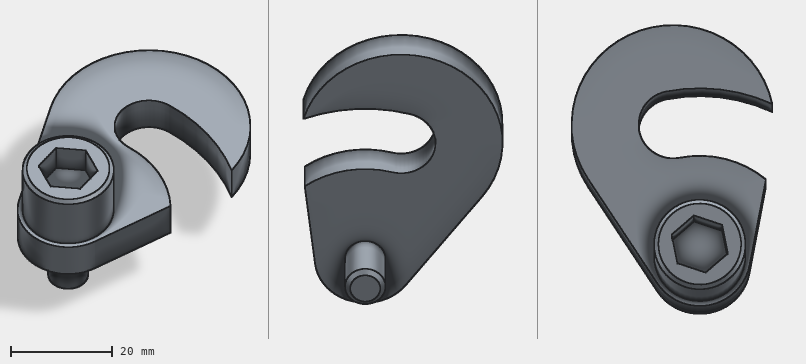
import cadquery as cq
import math

disc_radius = 20.0
pivot_radius = 9.95
length = 56.95
pivot_to_disc = length - disc_radius - pivot_radius
plate_thickness = 8

throat_radius = 6.8

head_diameter = 18.0
head_height = 12.2
head_chamfer_width = 0.85
head_chamfer_height = 0.5
hex_across_flats = 10.15
hex_depth = 6.0
pin_diameter = 8
pin_length = 12.0
pin_chamfer_width = 1.0
pin_chamfer_height = 0.8


def make_blank():
    """Two round ends joined by their common tangent lines."""
    tilt = math.asin((disc_radius - pivot_radius) / pivot_to_disc)
    across = math.cos(tilt)
    down = math.sin(tilt)
    disc_x = disc_radius * across
    disc_y = pivot_to_disc - disc_radius * down
    pivot_x = pivot_radius * across
    pivot_y = -pivot_radius * down
    return (
        cq.Workplane("XY")
        .moveTo(-disc_x, disc_y)
        .threePointArc((0, pivot_to_disc + disc_radius), (disc_x, disc_y))
        .lineTo(pivot_x, pivot_y)
        .threePointArc((0, -pivot_radius), (-pivot_x, pivot_y))
        .close()
        .extrude(plate_thickness)
    )


def make_throat():
    """Arc-shaped slot that swings about the pivot and opens on the +X side."""
    outer_radius = pivot_to_disc + throat_radius
    inner_radius = pivot_to_disc - throat_radius
    ring = cq.Workplane("XY").circle(outer_radius).circle(inner_radius).extrude(plate_thickness)
    open_quarter = (
        cq.Workplane("XY")
        .rect(outer_radius, outer_radius, centered=False)
        .extrude(plate_thickness)
    )
    round_end = (
        cq.Workplane("XY")
        .center(0, pivot_to_disc)
        .circle(throat_radius)
        .extrude(plate_thickness)
    )
    return ring.intersect(open_quarter).union(round_end)


def make_screw():
    """Turned screw profile with a hexagon socket, corners pointing along Y."""
    head_radius = head_diameter / 2
    pin_radius = pin_diameter / 2
    head_top = plate_thickness + head_height
    profile = [
        (0, -pin_length),
        (pin_radius - pin_chamfer_width, -pin_length),
        (pin_radius, -pin_length + pin_chamfer_height),
        (pin_radius, plate_thickness),
        (head_radius, plate_thickness),
        (head_radius, head_top - head_chamfer_height),
        (head_radius - head_chamfer_width, head_top),
        (0, head_top),
    ]
    body = cq.Workplane("XZ").polyline(profile).close().revolve(360, (0, 0, 0), (0, 1, 0))
    hex_across_corners = hex_across_flats / math.cos(math.pi / 6)
    socket = (
        cq.Workplane("XY", origin=(0, 0, head_top - hex_depth))
        .transformed(rotate=(0, 0, 90))
        .polygon(6, hex_across_corners)
        .extrude(hex_depth)
    )
    return body.cut(socket)


result = make_blank().cut(make_throat()).union(make_screw())